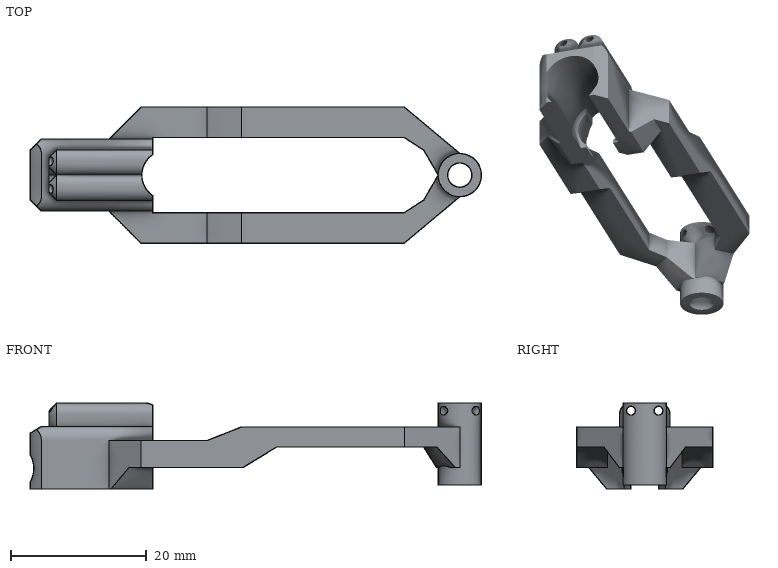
import cadquery as cq

length = 66.5
total_height = 12.7
arm_half_span = 10.05

clip_length = 18.1
clip_half_width = 5.3
clip_height = 9.25
clip_top_radius = 2.0
nose_setback = 1.65
nose_top_drop = 1.0
bore_height = 3.05
bore_radius = 4.2
lip_radius = 3.3
lip_length = 4.0
lip_slot_half_width = 2.05
notch_radius = 3.65
notch_depth = 1.6

guide_start = 2.8
guide_half_width = 3.7
guide_radius = 1.65
guide_flat = 0.4
guide_chamfer = 1.1
guide_overlap = 0.65
valley_flare_drop = 1.4
wire_diameter = 1.25
wire_offset = 2.03
wire_height = 11.55

tube_diameter = 6.4
tube_bore = 3.5
tube_bottom = 0.6
tube_x = length - tube_diameter / 2

arm_inner_y = 5.5
arm_root_x = 11.6
arm_bend_x = 55.1
arm_low_bottom = 3.2
arm_low_top = 7.2
arm_high_bottom = 6.2
arm_high_top = 9.2
knuckle_x = 57.95
knuckle_y = 3.65
top_ramp = (26.05, 31.1)
bottom_ramp = (31.4, 36.3)
root_slope_inner_y = 5.6
root_slope_outer_y = 8.25
tip_slope_run = 3.5


def box_between(x0, x1, y0, y1, z0, z1):
    box = cq.Workplane("XY").box(x1 - x0, y1 - y0, z1 - z0, centered=False)
    return box.translate((x0, y0, z0))


def rod_along_x(radius, x0, x1, y, z):
    return cq.Workplane("YZ", origin=(x0, y, z)).circle(radius).extrude(x1 - x0)


def solid_from_corners(triangles):
    faces = []
    for corners in triangles:
        outline = cq.Wire.makePolygon(corners, close=True)
        faces.append(cq.Face.makeFromWires(outline))
    return cq.Workplane(cq.Solid.makeSolid(cq.Shell.makeShell(faces)).fix())


def make_clip():
    clip = box_between(0, clip_length, -clip_half_width, clip_half_width, 0, clip_height)
    clip = clip.edges("|X and >Z").fillet(clip_top_radius)
    plan = (
        cq.Workplane("XY")
        .moveTo(0, clip_half_width - nose_setback)
        .lineTo(nose_setback, clip_half_width)
        .lineTo(clip_length, clip_half_width)
        .lineTo(clip_length, -clip_half_width)
        .lineTo(nose_setback, -clip_half_width)
        .lineTo(0, nose_setback - clip_half_width)
        .close()
        .extrude(clip_height)
    )
    side = (
        cq.Workplane("XZ")
        .polyline([
            (0, 0),
            (0, clip_height - nose_top_drop),
            (nose_setback, clip_height),
            (clip_length, clip_height),
            (clip_length, 0),
        ])
        .close()
        .extrude(clip_half_width, both=True)
    )
    return clip.intersect(plan).intersect(side)


def cut_clip_bore(clip):
    lip_start = clip_length - lip_length
    clip = clip.cut(rod_along_x(bore_radius, 0, lip_start, 0, bore_height))
    clip = clip.cut(rod_along_x(lip_radius, lip_start, clip_length, 0, bore_height))
    lower_slot = box_between(
        lip_start, clip_length, -lip_slot_half_width, lip_slot_half_width, 0, bore_height
    )
    upper_slot = rod_along_x(bore_radius, lip_start, clip_length, 0, bore_height).intersect(
        box_between(
            lip_start, clip_length, -lip_slot_half_width, lip_slot_half_width, bore_height, clip_height
        )
    )
    return clip.cut(upper_slot).cut(lower_slot)


def make_guide():
    round_z = total_height - guide_radius
    bevel_end = guide_start + guide_chamfer
    guide = box_between(
        guide_start, clip_length, -guide_half_width, guide_half_width, clip_height - guide_overlap, round_z
    )
    for side in (-1, 1):
        center_y = side * guide_half_width / 2
        ridge = box_between(
            guide_start, clip_length,
            center_y - guide_flat / 2, center_y + guide_flat / 2, round_z - guide_overlap, total_height,
        )
        guide = guide.union(ridge)
        for edge in (-1, 1):
            y = center_y + edge * guide_flat / 2
            guide = guide.union(rod_along_x(guide_radius, bevel_end, clip_length, y, round_z))
            bevel = cq.Solid.makeCone(
                guide_radius - guide_chamfer, guide_radius, guide_chamfer,
                pnt=cq.Vector(guide_start, y, round_z), dir=cq.Vector(1, 0, 0),
            )
            guide = guide.union(cq.Workplane(bevel))
    inner_half = guide_half_width - guide_chamfer
    plan = (
        cq.Workplane("XY")
        .polyline([
            (guide_start, -inner_half),
            (guide_start, inner_half),
            (bevel_end, guide_half_width),
            (clip_length, guide_half_width),
            (clip_length, -guide_half_width),
            (bevel_end, -guide_half_width),
        ])
        .close()
        .extrude(total_height)
    )
    side_profile = (
        cq.Workplane("XZ")
        .polyline([
            (guide_start, 0),
            (guide_start, total_height - guide_chamfer),
            (bevel_end, total_height),
            (clip_length, total_height),
            (clip_length, 0),
        ])
        .close()
        .extrude(guide_half_width, both=True)
    )
    left = cq.Vector(guide_start, guide_chamfer, round_z)
    right = cq.Vector(guide_start, -guide_chamfer, round_z)
    low = cq.Vector(guide_start, 0, round_z - valley_flare_drop)
    apex = cq.Vector(bevel_end, 0, round_z)
    valley_flare = solid_from_corners([
        (left, right, low), (left, right, apex), (right, low, apex), (low, left, apex),
    ])
    return guide.intersect(plan).intersect(side_profile).cut(valley_flare)


def cut_rear_notch(body):
    center_x = clip_length - notch_depth + notch_radius
    notch = cq.Workplane("XY").center(center_x, 0).circle(notch_radius).extrude(total_height)
    return body.cut(notch)


def arm_plan(z0, z1):
    """Half of the frame outline (+Y side), extruded from z0 to z1."""
    bend_start = arm_root_x + arm_half_span - clip_half_width
    return (
        cq.Workplane("XY", origin=(0, 0, z0))
        .polyline([
            (arm_root_x, clip_half_width),
            (bend_start, arm_half_span),
            (arm_bend_x, arm_half_span),
            (tube_x, tube_diameter / 2),
            (tube_x, 0),
            (tube_x - tube_diameter / 2, 0),
            (knuckle_x, knuckle_y),
            (arm_bend_x, arm_inner_y),
            (clip_length, arm_inner_y),
            (clip_length, clip_half_width),
        ])
        .close()
        .extrude(z1 - z0)
    )


def make_arm():
    profile = (
        cq.Workplane("XZ")
        .polyline([
            (0, arm_low_bottom),
            (0, arm_low_top),
            (top_ramp[0], arm_low_top),
            (top_ramp[1], arm_high_top),
            (length, arm_high_top),
            (length, arm_high_bottom),
            (bottom_ramp[1], arm_high_bottom),
            (bottom_ramp[0], arm_low_bottom),
        ])
        .close()
        .extrude(-arm_half_span)
    )
    return arm_plan(0, total_height).intersect(profile)


def make_root_gusset():
    """Sloped web joining the arm's underside to the clip's side."""
    slope = (
        cq.Workplane("YZ")
        .polyline([
            (clip_half_width, 0),
            (root_slope_inner_y, 0),
            (root_slope_outer_y, arm_low_bottom),
            (clip_half_width, arm_low_bottom),
        ])
        .close()
        .extrude(clip_length)
    )
    return arm_plan(0, arm_low_bottom).intersect(slope)


def make_tip_gusset():
    """Web under the arm's tip, its underside sloping down along the arm towards the tube."""
    arm_run = tube_x - arm_bend_x
    arm_drop = arm_half_span - tube_diameter / 2
    direction = cq.Vector(arm_run, -arm_drop, 0).normalized()
    across = cq.Vector(-direction.y, direction.x, 0)
    slope_plane = cq.Plane(origin=(knuckle_x, knuckle_y, 0), xDir=direction, normal=across)
    up = slope_plane.yDir.z
    wedge = (
        cq.Workplane(slope_plane)
        .polyline([
            (0, up * arm_high_bottom),
            (tip_slope_run, up * arm_low_bottom),
            (arm_half_span, up * arm_low_bottom),
            (arm_half_span, up * arm_high_bottom),
        ])
        .close()
        .extrude(arm_half_span, both=True)
    )
    return arm_plan(arm_low_bottom, arm_high_bottom).intersect(wedge)


def make_tube():
    tube = cq.Workplane("XY", origin=(tube_x, 0, tube_bottom)).circle(tube_diameter / 2)
    return tube.extrude(total_height - tube_bottom)


half_frame = make_arm().union(make_root_gusset()).union(make_tip_gusset())
frame = half_frame.union(half_frame.mirror("XZ"))

clip_body = cut_rear_notch(cut_clip_bore(make_clip().union(make_guide())))
result = clip_body.union(frame).union(make_tube())

result = result.cut(cq.Workplane("XY").center(tube_x, 0).circle(tube_bore / 2).extrude(total_height))
for wire_y in (-wire_offset, wire_offset):
    result = result.cut(rod_along_x(wire_diameter / 2, 0, length, wire_y, wire_height))